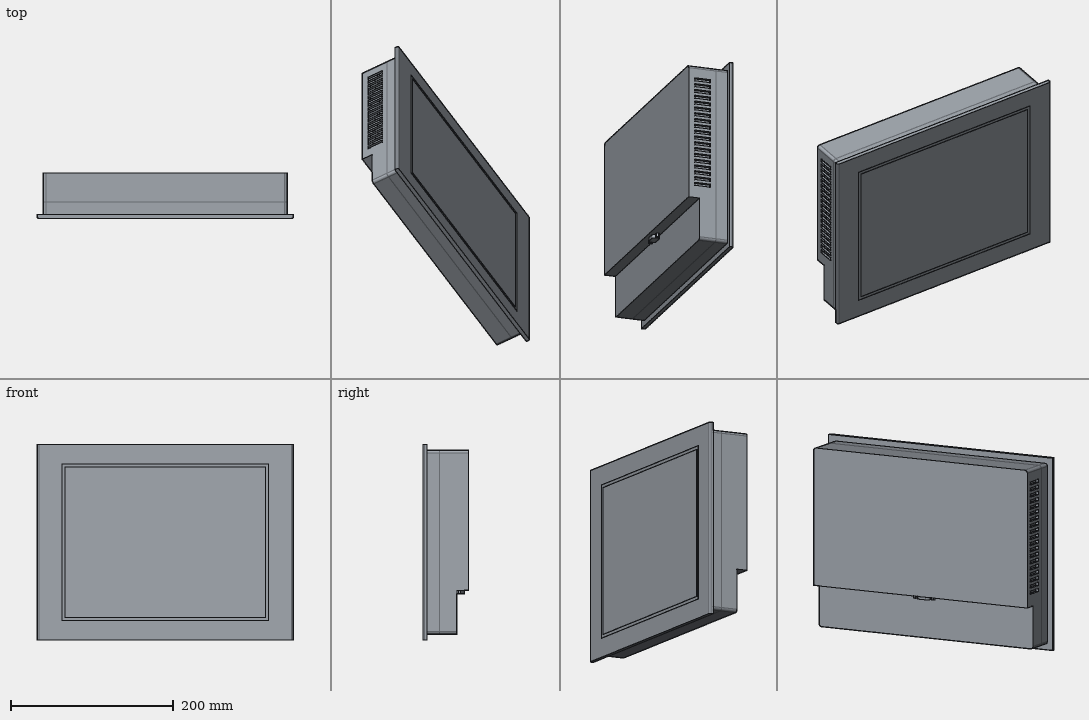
import cadquery as cq


PANEL_WIDTH = 315.0
PANEL_HEIGHT = 241.0
PANEL_THICKNESS = 5.0
PANEL_EDGE_RADIUS = 2.0

SCREEN_WIDTH = 246.0
SCREEN_HEIGHT = 185.0
BORDER_WIDTH = 4.0
BORDER_DEPTH = 0.2

TOTAL_DEPTH = 56.0
PANEL_OVERHANG = 7.25
CASING_WIDTH = PANEL_WIDTH - 2 * PANEL_OVERHANG
CASING_HEIGHT = PANEL_HEIGHT - 2 * PANEL_OVERHANG
CASING_EDGE_RADIUS = 3.5
SEAM_Y = 20.4

RECESS_FLOOR_Y = 41.8
RECESS_TOP_Z = -59.2

SLOT_COUNT = 19
SLOT_PITCH = 7.6
SLOT_HEIGHT = 3.9
SLOT_LENGTH = 20.6
SLOT_DEPTH = 4.0
SLOT_CENTER_Y = 37.7
TOP_SLOT_Z = 95.5

CONNECTOR_Y = 46.0
CONNECTOR_DROP = 4.4
SHELL_LENGTH = 17.0
SHELL_WIDTH = 10.0
SHELL_CORNER_RADIUS = 4.0
POST_SPACING = 25.0
POST_ACROSS_CORNERS = 5.0


def box_along_y(width, height, front_y, rear_y):
    """Box centred on X and Z, running from front_y to rear_y."""
    depth = rear_y - front_y
    return cq.Workplane("XY").box(width, depth, height).translate((0, front_y + depth / 2, 0))


def make_panel():
    """Flat panel with rounded left and right front edges and the screen border groove."""
    panel = box_along_y(PANEL_WIDTH, PANEL_HEIGHT, 0, PANEL_THICKNESS)
    panel = panel.faces("<Y").edges("|Z").fillet(PANEL_EDGE_RADIUS)
    outer_width = SCREEN_WIDTH + 2 * BORDER_WIDTH
    outer_height = SCREEN_HEIGHT + 2 * BORDER_WIDTH
    border = box_along_y(outer_width, outer_height, 0, BORDER_DEPTH)
    display = box_along_y(SCREEN_WIDTH, SCREEN_HEIGHT, 0, BORDER_DEPTH)
    return panel.cut(border.cut(display))


def make_casing_section(front_y, rear_y):
    """Length of casing with its four long edges rounded."""
    section = box_along_y(CASING_WIDTH, CASING_HEIGHT, front_y, rear_y)
    return section.edges("|Y").fillet(CASING_EDGE_RADIUS)


def make_recess():
    """Block removed below the recess ceiling, behind the recess floor."""
    height = RECESS_TOP_Z + PANEL_HEIGHT / 2
    depth = TOTAL_DEPTH - RECESS_FLOOR_Y
    center = (0, RECESS_FLOOR_Y + depth / 2, RECESS_TOP_Z - height / 2)
    return cq.Workplane("XY").box(PANEL_WIDTH, depth, height).translate(center)


def make_slots():
    """Column of slot cutters reaching SLOT_DEPTH into the left casing wall."""
    center_x = -CASING_WIDTH / 2 + SLOT_DEPTH / 2
    centers = [(center_x, SLOT_CENTER_Y, TOP_SLOT_Z - i * SLOT_PITCH) for i in range(SLOT_COUNT)]
    return cq.Workplane("XY").pushPoints(centers).box(SLOT_DEPTH, SLOT_LENGTH, SLOT_HEIGHT)


def make_connector():
    """Connector shell and its two posts hanging from the recess ceiling."""
    ceiling = cq.Workplane("XY", origin=(0, CONNECTOR_Y, RECESS_TOP_Z))
    shell = ceiling.rect(SHELL_LENGTH, SHELL_WIDTH).extrude(-CONNECTOR_DROP)
    shell = shell.edges("|Z").fillet(SHELL_CORNER_RADIUS)
    half_spacing = POST_SPACING / 2
    posts = ceiling.pushPoints([(-half_spacing, 0), (half_spacing, 0)])
    posts = posts.polygon(6, POST_ACROSS_CORNERS).extrude(-CONNECTOR_DROP)
    return shell.union(posts)


frame = make_casing_section(PANEL_THICKNESS, SEAM_Y)
cover = make_casing_section(SEAM_Y, TOTAL_DEPTH).cut(make_recess()).cut(make_slots())
cover = cover.union(make_connector())
result = make_panel().union(frame).union(cover, clean=False)